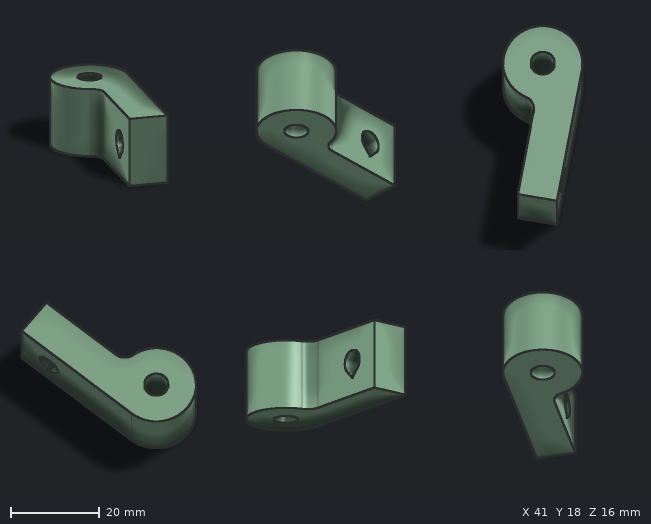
import cadquery as cq
import math

HEIGHT = 16.0
BARREL_RADIUS = 9.0
ARM_REACH = 32.0
FILLET_RADIUS = 3.0
HOLE_RADIUS = 5.4 / 2
CROSS_HOLE_X = 24.0
CROSS_HOLE_Z = HEIGHT / 2

SIN_45 = math.sin(math.radians(45))


def lever_body():
    """Barrel on the Z axis with an arm along +X, from the barrel axis out to its +Y side."""
    fillet_center_x = math.sqrt((BARREL_RADIUS + FILLET_RADIUS) ** 2 - FILLET_RADIUS**2)
    fillet_center_y = -FILLET_RADIUS
    barrel_share = BARREL_RADIUS / (BARREL_RADIUS + FILLET_RADIUS)
    barrel_tangent = (fillet_center_x * barrel_share, fillet_center_y * barrel_share)

    start_angle = math.atan2(-fillet_center_y, -fillet_center_x)
    mid_angle = (start_angle + math.pi / 2) / 2
    fillet_mid = (
        fillet_center_x + FILLET_RADIUS * math.cos(mid_angle),
        fillet_center_y + FILLET_RADIUS * math.sin(mid_angle),
    )

    return (
        cq.Workplane("XY")
        .moveTo(0, BARREL_RADIUS)
        .threePointArc((-BARREL_RADIUS * SIN_45, -BARREL_RADIUS * SIN_45), barrel_tangent)
        .threePointArc(fillet_mid, (fillet_center_x, 0))
        .lineTo(ARM_REACH, 0)
        .lineTo(ARM_REACH, BARREL_RADIUS)
        .close()
        .extrude(HEIGHT)
    )


def barrel_bore():
    """Round through hole on the barrel axis."""
    return cq.Workplane("XY").circle(HOLE_RADIUS).extrude(HEIGHT)


def teardrop_hole():
    """Hole through the arm along Y: a circle with a 90 degree point toward -Z."""
    tangent_offset = HOLE_RADIUS * SIN_45
    tip_drop = HOLE_RADIUS / SIN_45
    return (
        cq.Workplane("XZ", origin=(CROSS_HOLE_X, 0, CROSS_HOLE_Z))
        .moveTo(-tangent_offset, -tangent_offset)
        .threePointArc((0, HOLE_RADIUS), (tangent_offset, -tangent_offset))
        .lineTo(0, -tip_drop)
        .close()
        .extrude(-BARREL_RADIUS)
    )


result = lever_body().cut(barrel_bore()).cut(teardrop_hole())